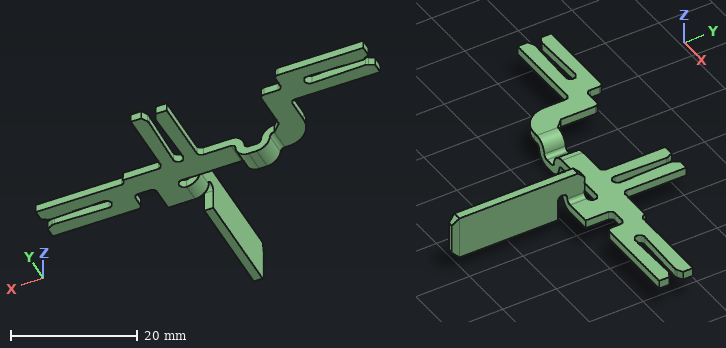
import cadquery as cq
import math

length = 63.5
thickness = 1.6
bend_inner = 0.75
bend_outer = bend_inner + thickness
corner = 0.75
strip_width = 4.0

fork_width = 6.35
fork_half = fork_width / 2
fork_length = 15.75
left_fork_y = 12.7
back_edge = left_fork_y + fork_half
back_fork_x = 37.65
right_fork_y = -0.05
right_fork_start = length - fork_length

slot_depth = 11.8
slot_end_radius = 0.86
slot_throat_half = 0.605
slot_mouth_half = 1.3
slot_lead = 1.2
slot_lip_radius = 1.0

neck_width = 4.0
neck_right = fork_length + neck_width
neck_top = 12.65
neck_bend_radius = 4.8
neck_chamfer = 1.45

jog_center = 25.0
jog_drop = 2.85
jog_floor = 1.4

blade_left = 36.95
blade_right = blade_left + thickness
bend_end = blade_left + bend_outer
relief_width = 1.7
tab_start = -relief_width
tab_end = -4.95
tab_right = 44.1
relief_right = 40.2
relief_corner = relief_width / 2
blade_end = back_edge - 42.15
blade_top = 6.55
blade_bottom = -1.35
blade_chamfer = 1.2
blade_tip_inset = 0.35
blade_relief_top = 3.3


def rounded_outline(corners):
    """Closed outline through (x, y, radius) corners; radius 0 keeps a corner sharp."""
    tolerance = 6.35e-07
    outline = None
    for i, (x, y, radius) in enumerate(corners):
        here = cq.Vector(x, y)
        before = (cq.Vector(*corners[i - 1][:2]) - here).normalized()
        after = (cq.Vector(*corners[(i + 1) % len(corners)][:2]) - here).normalized()
        half_angle = before.getAngle(after) / 2
        setback = radius / math.tan(half_angle)
        start = here + before * setback
        if outline is None:
            outline = cq.Workplane("XY").moveTo(start.x, start.y)
        elif (start - end).Length > tolerance:
            outline = outline.lineTo(start.x, start.y)
        end = here + after * setback
        if radius > 0:
            to_arc = radius / math.sin(half_angle) - radius
            middle = here + (before + after).normalized() * to_arc
            outline = outline.threePointArc((middle.x, middle.y), (end.x, end.y))
    return outline.close()


def flat_sheet():
    """Flat pattern without the fork slots, the jog and the upright blade."""
    corners = [
        (0, left_fork_y - fork_half, 0),
        (fork_length, left_fork_y - fork_half, corner),
        (fork_length, 0, neck_bend_radius),
        (relief_right, 0, relief_corner),
        (relief_right, tab_start, relief_corner),
        (bend_end, tab_start, 0),
        (bend_end, tab_end, 0),
        (tab_right, tab_end, 0),
        (tab_right, 0, corner),
        (right_fork_start, 0, corner),
        (right_fork_start, right_fork_y - fork_half, corner),
        (length, right_fork_y - fork_half, 0),
        (length, right_fork_y + fork_half, 0),
        (right_fork_start, right_fork_y + fork_half, corner),
        (right_fork_start, strip_width, 0),
        (back_fork_x + fork_half, strip_width, corner),
        (back_fork_x + fork_half, back_edge, 0),
        (back_fork_x - fork_half, back_edge, 0),
        (back_fork_x - fork_half, strip_width, corner),
        (neck_right + neck_chamfer, strip_width, 0),
        (neck_right, strip_width + neck_chamfer, 0),
        (neck_right, neck_top, corner),
        (fork_length, neck_top, corner),
        (fork_length, back_edge, corner),
        (0, back_edge, 0),
    ]
    return rounded_outline(corners).extrude(thickness)


def fork_slot(tip_x, tip_y, direction):
    """Slot cutter from a fork's tip, heading inward at `direction` degrees."""
    round_start = slot_depth - slot_end_radius
    corners = [
        (0, -slot_mouth_half, 0),
        (slot_lead, -slot_throat_half, slot_lip_radius),
        (round_start, -slot_end_radius, 0),
        (round_start, slot_end_radius, 0),
        (slot_lead, slot_throat_half, slot_lip_radius),
        (0, slot_mouth_half, 0),
    ]
    tapered_part = rounded_outline(corners).extrude(thickness)
    round_end = cq.Workplane("XY").center(round_start, 0).circle(slot_end_radius).extrude(thickness)
    cutter = tapered_part.union(round_end)
    return cutter.rotate((0, 0, 0), (0, 0, 1), direction).translate((tip_x, tip_y, 0))


jog_angle = math.acos(1 - jog_drop / (bend_inner + bend_outer))
jog_half = jog_floor / 2 + (bend_inner + bend_outer) * math.sin(jog_angle)
jog_left = jog_center - jog_half


def bend_point(center, radius, angle):
    """Point on a bend, with the angle measured from +Z toward +X."""
    return center[0] + radius * math.sin(angle), center[1] + radius * math.cos(angle)


def jog():
    """Left half of the dip in the strip, mirrored to make the whole dip."""
    crest = (jog_left, thickness - bend_outer)
    valley = (jog_center - jog_floor / 2, bend_outer - jog_drop)
    valley_middle = math.pi + jog_angle / 2
    valley_angle = math.pi + jog_angle
    floor_top = thickness - jog_drop
    left_half = (
        cq.Workplane("XZ")
        .moveTo(jog_left, thickness)
        .threePointArc(
            bend_point(crest, bend_outer, jog_angle / 2),
            bend_point(crest, bend_outer, jog_angle),
        )
        .threePointArc(bend_point(valley, bend_inner, valley_middle), (valley[0], floor_top))
        .lineTo(jog_center, floor_top)
        .lineTo(jog_center, -jog_drop)
        .lineTo(valley[0], -jog_drop)
        .threePointArc(
            bend_point(valley, bend_outer, valley_middle),
            bend_point(valley, bend_outer, valley_angle),
        )
        .threePointArc(bend_point(crest, bend_inner, jog_angle / 2), (jog_left, 0))
        .close()
        .extrude(-strip_width)
    )
    right_half = left_half.mirror("YZ", (jog_center, 0, 0))
    return left_half.union(right_half)


def jog_gap():
    """Stretch of flat strip that the jog replaces."""
    gap = cq.Workplane("XY").box(2 * jog_half, strip_width, thickness, centered=False)
    return gap.translate((jog_left, 0, 0))


def blade_bend():
    """Quarter bend turning the tab upward into the blade."""
    turn = math.radians(225)
    center = (bend_end, bend_outer)
    return (
        cq.Workplane("XZ", origin=(0, tab_start, 0))
        .moveTo(bend_end, 0)
        .threePointArc(bend_point(center, bend_outer, turn), (blade_left, bend_outer))
        .lineTo(blade_right, bend_outer)
        .threePointArc(bend_point(center, bend_inner, turn), (bend_end, thickness))
        .close()
        .extrude(tab_start - tab_end)
    )


def blade():
    """Upright blade with a rounded relief beside the bend and a tapered tip."""
    relief_radius = relief_width / 2
    relief_end = tab_end - relief_width
    relief_spring = blade_relief_top - relief_radius
    side_profile = (
        cq.Workplane("YZ", origin=(blade_left, 0, 0))
        .moveTo(tab_start, bend_outer)
        .lineTo(tab_start, blade_top - blade_chamfer)
        .lineTo(tab_start - blade_chamfer, blade_top)
        .lineTo(blade_end + blade_chamfer, blade_top)
        .lineTo(blade_end, blade_top - blade_chamfer)
        .lineTo(blade_end, blade_bottom + blade_chamfer)
        .lineTo(blade_end + blade_chamfer, blade_bottom)
        .lineTo(relief_end, blade_bottom)
        .lineTo(relief_end, relief_spring)
        .threePointArc((tab_end - relief_radius, blade_relief_top), (tab_end, relief_spring))
        .lineTo(tab_end, bend_outer)
        .close()
        .extrude(thickness)
    )
    plan_profile = (
        cq.Workplane("XY", origin=(0, 0, blade_bottom))
        .moveTo(blade_left, tab_start)
        .lineTo(blade_left, blade_end + blade_chamfer)
        .lineTo(blade_left + blade_tip_inset, blade_end)
        .lineTo(blade_right - blade_tip_inset, blade_end)
        .lineTo(blade_right, blade_end + blade_chamfer)
        .lineTo(blade_right, tab_start)
        .close()
        .extrude(blade_top - blade_bottom)
    )
    return side_profile.intersect(plan_profile)


sheet = flat_sheet().cut(jog_gap())
slots = [
    (0, left_fork_y, 0),
    (back_fork_x, back_edge, -90),
    (length, right_fork_y, 180),
]
for tip_x, tip_y, direction in slots:
    sheet = sheet.cut(fork_slot(tip_x, tip_y, direction))

result = sheet.union(jog()).union(blade_bend()).union(blade())